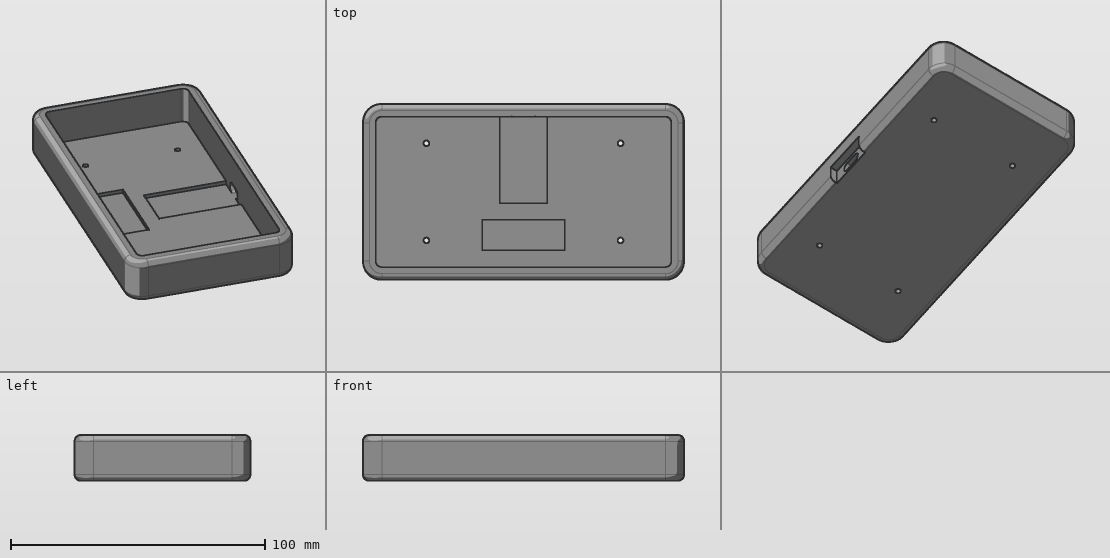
import cadquery as cq

length = 126.3
width = 69.2
height = 18.0
wall = 5.0
floor = 3.0
corner_radius = 7.5
edge_radius = 2.5
inner_corner_radius = corner_radius - wall

hole_diameter = 2.1
hole_spacing_x = 76.3
hole_spacing_y = 38.1

recess_depth = 1.5
board_recess_width = 18.8
board_recess_front = -4.5
connector_recess_width = 32.3
connector_recess_front = -22.9
connector_recess_back = -11.0

port_width = 9.2
port_height = 4.4

port_wall = 2.0
plug_width = board_recess_width
plug_height = 8.6

recess_bottom = floor - recess_depth
port_center_z = recess_bottom + port_height / 2
cavity_back = width / 2 - wall


def make_tray():
    """Rounded block, hollowed out from above."""
    block = (
        cq.Workplane("XY")
        .box(length, width, height, centered=(True, True, False))
        .edges("|Z").fillet(corner_radius)
        .faces("<Z or >Z").edges().fillet(edge_radius)
    )
    cavity = (
        cq.Workplane("XY", origin=(0, 0, floor))
        .box(length - 2 * wall, width - 2 * wall, height, centered=(True, True, False))
        .edges("|Z").fillet(inner_corner_radius)
    )
    return block.cut(cavity)


def make_mounting_holes():
    return (
        cq.Workplane("XY")
        .rarray(hole_spacing_x, hole_spacing_y, 2, 2)
        .circle(hole_diameter / 2)
        .extrude(floor)
    )


def make_floor_recess(recess_width, front, back):
    """Rectangular recess centred in X, between two Y positions."""
    return (
        cq.Workplane("XY", origin=(0, (front + back) / 2, recess_bottom))
        .rect(recess_width, back - front)
        .extrude(recess_depth)
    )


def make_cable_port():
    """Slot with round ends, running in Y through the back wall."""
    return (
        cq.Workplane("XZ", origin=(0, width / 2, port_center_z))
        .slot2D(port_width, port_height)
        .extrude(wall)
    )


def make_plug_clearance():
    """Rectangular notch behind the port, open at the back and the underside."""
    return (
        cq.Workplane("XZ", origin=(0, width / 2, port_center_z))
        .rect(plug_width, plug_height)
        .extrude(wall - port_wall)
    )


result = (
    make_tray()
    .cut(make_mounting_holes())
    .cut(make_floor_recess(board_recess_width, board_recess_front, cavity_back))
    .cut(make_floor_recess(connector_recess_width, connector_recess_front, connector_recess_back))
    .cut(make_cable_port())
    .cut(make_plug_clearance())
)